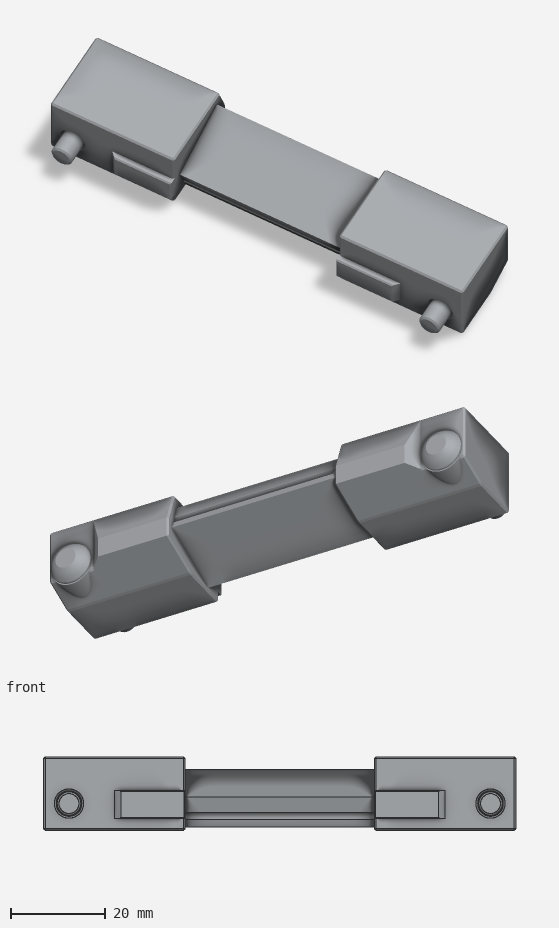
import cadquery as cq
import math

total_length = 100.0
cap_length = 30.0
cap_depth = 20.0
cap_height = 15.6
edge_chamfer = 0.4
tilt = 20.0
slope = math.tan(math.radians(tilt))

underside_flat = 12.3

rear_lug_start = 10.6
rear_lug_reach = 2.5
rear_lug_root = 5.0
rear_lug_top = cap_height - edge_chamfer

front_lug_start = 15.0
front_lug_reach = 1.4
front_lug_bottom = 2.5
front_lug_height = 6.0
front_lug_chamfer = 0.3

screw_x = 5.4
screw_z = 5.7
shank_diameter = 5.0
hole_diameter = 5.4
hole_chamfer = 0.4
boss_diameter = 10.0
boss_start_y = cap_depth / 2
head_diameter = 9.5
head_rim = 0.5
head_height = 2.8
head_flat_diameter = 4.8
shank_projection = 5.0
tip_chamfer = 0.4

bar_length = total_length - 2 * cap_length
bar_width = 17.1
bar_thickness = 6.8
bar_corner_y = 2.6
bar_corner_z = 7.1
groove_radius = 0.8
groove_drop = 4.3


def prism_along_x(points, start, end):
    """Extrude a closed YZ outline from x=start to x=end."""
    return cq.Workplane("YZ", origin=(start, 0, 0)).polyline(points).close().extrude(end - start)


def underside_at(y):
    """Height of the sloped underside at depth y."""
    return (y - underside_flat) * slope


def make_cap_block():
    outline = [
        (0, 0),
        (underside_flat, 0),
        (cap_depth, underside_at(cap_depth)),
        (cap_depth, cap_height),
        (0, cap_height),
    ]
    return prism_along_x(outline, 0, cap_length).edges().chamfer(edge_chamfer)


def make_rear_lug():
    root_y = cap_depth - rear_lug_root
    outer_y = cap_depth + rear_lug_reach
    outline = [
        (root_y, underside_at(root_y)),
        (outer_y, underside_at(outer_y)),
        (outer_y, rear_lug_top - rear_lug_reach / slope),
        (cap_depth, rear_lug_top),
        (root_y, rear_lug_top),
    ]
    lug = prism_along_x(outline, rear_lug_start, cap_length).faces(">X").edges().chamfer(edge_chamfer)
    lead_in = (
        cq.Workplane("XY")
        .moveTo(rear_lug_start, cap_depth)
        .lineTo(rear_lug_start + rear_lug_reach, outer_y)
        .lineTo(rear_lug_start, outer_y)
        .close()
        .extrude(cap_height)
    )
    return lug.cut(lead_in)


def make_front_lug():
    root_y = 2 * edge_chamfer
    lug = (
        cq.Workplane("XY", origin=(0, 0, front_lug_bottom))
        .moveTo(front_lug_start, 0)
        .lineTo(front_lug_start + front_lug_reach, -front_lug_reach)
        .lineTo(cap_length, -front_lug_reach)
        .lineTo(cap_length, root_y)
        .lineTo(front_lug_start, root_y)
        .close()
        .extrude(front_lug_height)
    )
    long_edges_done = lug.faces("<Y").edges("|X").chamfer(front_lug_chamfer)
    return long_edges_done.edges("|Z and >X and <Y").chamfer(front_lug_chamfer)


def cylinder_along_y(diameter, start, end):
    """Cylinder on the screw axis from y=start to y=end."""
    axis_plane = cq.Workplane("XZ", origin=(screw_x, start, screw_z))
    return axis_plane.circle(diameter / 2).extrude(start - end)


def make_countersink():
    """Cone that breaks the mouth of the screw hole at the mounting face."""
    hole_radius = hole_diameter / 2
    cone = cq.Solid.makeCone(
        hole_radius + hole_chamfer,
        hole_radius,
        hole_chamfer,
        pnt=cq.Vector(screw_x, 0, screw_z),
        dir=cq.Vector(0, 1, 0),
    )
    return cq.Workplane(cone)


def make_cap():
    """Left cap: block, two lugs, a round seat under the screw head and the screw hole."""
    boss = cylinder_along_y(boss_diameter, boss_start_y, cap_depth)
    hole = cylinder_along_y(hole_diameter, 0, cap_depth)
    block = make_cap_block().union(make_rear_lug()).union(make_front_lug())
    return block.union(boss).cut(hole).cut(make_countersink())


def make_screw():
    """Left screw: chamfered shank and a flat-topped domed head, as one revolved section."""
    rim_radius = head_diameter / 2
    flat_radius = head_flat_diameter / 2
    shank_radius = shank_diameter / 2
    dome_rise = head_height - head_rim
    centre_below_rim = (rim_radius**2 - flat_radius**2 - dome_rise**2) / (2 * dome_rise)
    dome_radius = math.hypot(rim_radius, centre_below_rim)
    mid_radius = (rim_radius + flat_radius) / 2
    mid_height = math.sqrt(dome_radius**2 - mid_radius**2) - centre_below_rim
    rim_y = cap_depth + head_rim
    return (
        cq.Workplane("XY")
        .moveTo(0, -shank_projection)
        .lineTo(shank_radius - tip_chamfer, -shank_projection)
        .lineTo(shank_radius, -shank_projection + tip_chamfer)
        .lineTo(shank_radius, cap_depth)
        .lineTo(rim_radius, cap_depth)
        .lineTo(rim_radius, rim_y)
        .threePointArc((mid_radius, rim_y + mid_height), (flat_radius, cap_depth + head_height))
        .lineTo(0, cap_depth + head_height)
        .close()
        .revolve(360, (0, 0, 0), (0, 1, 0))
        .translate((screw_x, 0, screw_z))
    )


def make_bar():
    """Tilted grip bar between the caps, with a round groove along each narrow side."""
    bar = (
        cq.Workplane("YZ")
        .rect(bar_width, -bar_thickness, centered=False)
        .extrude(bar_length)
    )
    for side_y in (0, bar_width):
        groove = cq.Workplane("YZ").center(side_y, -groove_drop).circle(groove_radius).extrude(bar_length)
        bar = bar.cut(groove)
    tilted = bar.rotate((0, 0, 0), (1, 0, 0), tilt)
    return tilted.translate((cap_length, bar_corner_y, bar_corner_z))


def left_and_right(body):
    """The left-hand body and its mirror image about the middle of the handle."""
    return [body.val(), body.mirror("YZ", (total_length / 2, 0, 0)).val()]


caps = left_and_right(make_cap())
screws = left_and_right(make_screw())
bar = make_bar()

result = cq.Compound.makeCompound([*caps, *screws, bar.val()])